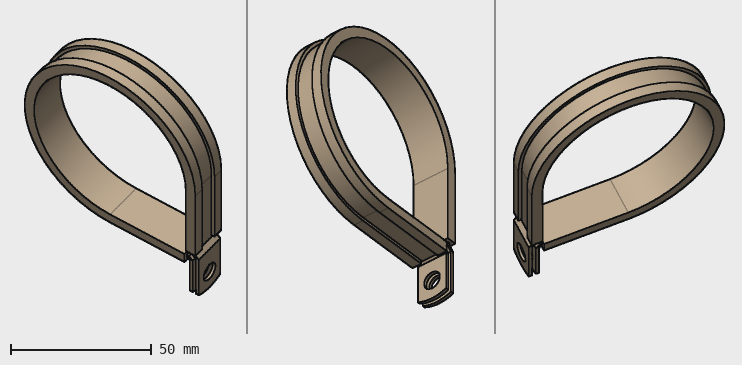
import cadquery as cq
import math

outer_radius = 37.5
cushion_thickness = 4.2
cushion_width = 15.7
groove_width = 7.5
bottom_arm_end = 32.8
side_arm_end = -31.4

strap_thickness = 1.3
strap_depth = 1.4
strap_width = 13.0
strap_outer = outer_radius - strap_depth
strap_inner = strap_outer - strap_thickness

tab_bottom = -54.0
inner_tab_outer_x = 35.3
outer_tab_outer_x = 38.1
bend_leg = 1.6
jog_start = -32.3
tip_rise = 1.4
hole_diameter = 7.1
hole_height = 8.05
hole_z = tab_bottom + hole_height

miter_shift = strap_thickness * math.tan(math.radians(45 / 2))


def extrude_centered(sketch, width):
    """Extrude an XZ sketch symmetrically about Y = 0."""
    return sketch.extrude(width / 2, both=True)


def band(outer, inner, width):
    """Three-quarter ring with a tangent arm at each end."""
    diagonal = math.sqrt(0.5)
    sketch = (
        cq.Workplane("XZ")
        .moveTo(outer, side_arm_end)
        .lineTo(outer, 0)
        .threePointArc((-outer * diagonal, outer * diagonal), (0, -outer))
        .lineTo(bottom_arm_end, -outer)
        .lineTo(bottom_arm_end, -inner)
        .lineTo(0, -inner)
        .threePointArc((-inner * diagonal, inner * diagonal), (inner, 0))
        .lineTo(inner, side_arm_end)
        .close()
    )
    return extrude_centered(sketch, width)


def inner_tab():
    """Strap leaving the horizontal arm and bending down."""
    outer_x = inner_tab_outer_x
    inner_x = outer_x - strap_thickness
    upper_z = -strap_inner
    lower_z = -strap_outer
    points = [
        (bottom_arm_end, upper_z),
        (outer_x - bend_leg, upper_z),
        (outer_x, upper_z - bend_leg),
        (outer_x, tab_bottom),
        (inner_x, tab_bottom),
        (inner_x, upper_z - bend_leg - miter_shift),
        (outer_x - bend_leg - miter_shift, lower_z),
        (bottom_arm_end, lower_z),
    ]
    return extrude_centered(cq.Workplane("XZ").polyline(points).close(), strap_width)


def outer_tab():
    """Strap leaving the vertical arm, with a 45 degree jog outwards."""
    outer_x = outer_tab_outer_x
    inner_x = outer_x - strap_thickness
    jog_end = jog_start - (outer_x - strap_outer)
    points = [
        (strap_outer, side_arm_end),
        (strap_outer, jog_start),
        (outer_x, jog_end),
        (outer_x, tab_bottom),
        (inner_x, tab_bottom),
        (inner_x, jog_end - miter_shift),
        (strap_inner, jog_start - miter_shift),
        (strap_inner, side_arm_end),
    ]
    return extrude_centered(cq.Workplane("XZ").polyline(points).close(), strap_width)


def tab_outline():
    """Block along X with the rounded tip and the bolt hole of the tabs."""
    half_width = strap_width / 2
    tip_z = tab_bottom + tip_rise
    block = (
        cq.Workplane("YZ")
        .moveTo(-half_width, side_arm_end)
        .lineTo(-half_width, tip_z)
        .threePointArc((0, tab_bottom), (half_width, tip_z))
        .lineTo(half_width, side_arm_end)
        .close()
        .extrude(outer_tab_outer_x)
    )
    hole = (
        cq.Workplane("YZ")
        .center(0, hole_z)
        .circle(hole_diameter / 2)
        .extrude(outer_tab_outer_x)
    )
    return block.cut(hole)


groove = band(outer_radius, strap_outer, groove_width)
cushion = band(outer_radius, outer_radius - cushion_thickness, cushion_width).cut(groove)

tabs = inner_tab().union(outer_tab()).intersect(tab_outline())
result = cushion.union(tabs)